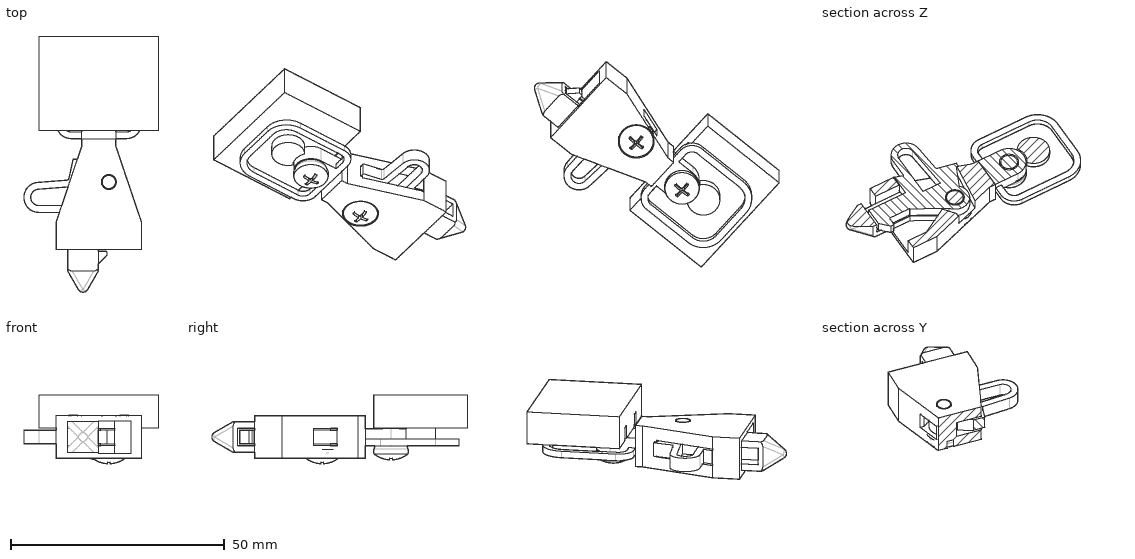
import cadquery as cq
import math


housing_width = 20.0
housing_height = 10.0
housing_straight = 6.4
taper_end_y = 24.2
housing_length = 25.9
stem_width = 8.0

port_offset = 3.7
nose_size = 7.2
nose_straight = 5.02
nose_half_angle = math.radians(30)
nose_round = 1.25
socket_size = 7.6
socket_straight = 5.0
socket_left_x = port_offset - socket_size / 2
socket_wedge_y = socket_straight + socket_size / 2 / math.tan(nose_half_angle)

slot_height = 4.0
slot_front_y = -3.93
slot_back_left_y = 20.7
slot_back_right_y = 19.3
slot_right_y = 13.8
slot_right_x = 6.5

screw_shank_diameter = 4.0
screw_tip_diameter = 3.09
screw_shank_length = 4.96
screw_tip_length = 3.0
head_neck_radius = 3.75
head_shoulder_radius = 4.0
head_shoulder_depth = 0.72
head_bulge_radius = 4.1
head_rim_radius = 3.97
head_rim_depth = 1.92
head_height = 3.33
recess_width = 0.6
recess_length = 4.0
recess_depth = 1.5
tip_hole_diameter = 3.5
counterbore_diameter = 8.4
latch_screw_x = 2.35
latch_screw_y = 15.8
latch_screw_seat_z = housing_height / 2 - screw_shank_length - screw_tip_length
block_screw_y = 31.9

latch_hole_diameter = 4.3
clearance_hole_diameter = 4.4

block_width = 28.0
block_length = 22.0
block_front_y = 27.83
block_bottom_z = 2.08
block_top_z = 9.85
boss_radius = 3.85
boss_distance = 6.6
stem_clearance_radius = 4.2
swing_angle = 30
swing_top_z = 5.15

ring_width = 20.0
ring_length = 21.9
ring_bar = 1.6
ring_thickness = 1.6
ring_front_radius = 3.6
ring_back_radius = 5.5
stem_top_z = 1.95
ring_top_z = -0.45
ring_bottom_z = ring_top_z - ring_thickness

latch_thickness = 3.25
loop_radius = 3.54
loop_bar = 1.65
loop_x = -14.0
loop_y = 12.2
loop_slope = math.radians(4.4)
loop_gap_end_x = -3.0
latch_front_y = 6.5
latch_tail_y = 21.16
latch_tail_x = -6.03
latch_bend_x = -7.1
latch_bend_round = 0.5
latch_hub_radius = 3.5
arm_left_x = -4.75
arm_right_x = -0.2
arm_end_y = -3.47
hook_x = 1.93
hook_back_y = -0.36
hook_round = 0.4


def plate(outline, bottom_z, top_z):
    """Straight-sided polygon plate between two heights."""
    return cq.Workplane("XY", origin=(0, 0, bottom_z)).polyline(outline).close().extrude(top_z - bottom_z)


def cylinder(x, y, bottom_z, top_z, diameter):
    """Upright cylinder between two heights."""
    return cq.Workplane("XY", origin=(x, y, bottom_z)).circle(diameter / 2).extrude(top_z - bottom_z)


def taper_x(y):
    """Half-width of the housing on its tapered flank."""
    share = (y - housing_straight) / (taper_end_y - housing_straight)
    return housing_width / 2 + share * (stem_width - housing_width) / 2


def make_nose():
    """Square nose that ends in a rounded pyramid."""
    half = nose_size / 2
    apex_y = -nose_straight - half / math.tan(nose_half_angle)
    bar = cq.Workplane("XY").box(nose_size, nose_straight, nose_size)
    bar = bar.translate((-port_offset, -nose_straight / 2, 0))
    corners = [
        cq.Vector(-port_offset + sx * half, -nose_straight, sz * half)
        for sx, sz in ((-1, -1), (1, -1), (1, 1), (-1, 1))
    ]
    apex = cq.Vector(-port_offset, apex_y, 0)
    faces = [cq.Face.makeFromWires(cq.Wire.makePolygon(corners, close=True))]
    for first, second in zip(corners, corners[1:] + corners[:1]):
        faces.append(cq.Face.makeFromWires(cq.Wire.makePolygon([first, second, apex], close=True)))
    pyramid = cq.Workplane(obj=cq.Solid.makeSolid(cq.Shell.makeShell(faces)))
    slanted_edges = cq.selectors.BoxSelector(
        (-port_offset - half, apex_y - 1, -half),
        (-port_offset + half, -nose_straight - half / 4, half),
    )
    return bar.union(pyramid).edges(slanted_edges).fillet(nose_round)


def make_slot():
    """Flat cavity for the latch, open to the left flank, the right flank and the nose."""
    nose_left_x = -port_offset - nose_size / 2
    outer_x = housing_width
    outline = [
        (-outer_x, slot_back_left_y),
        (-taper_x(slot_back_left_y), slot_back_left_y),
        (taper_x(slot_back_right_y), slot_back_right_y),
        (outer_x, slot_back_right_y),
        (outer_x, slot_right_y),
        (slot_right_x, slot_right_y),
        (port_offset, socket_wedge_y),
        (socket_left_x, socket_straight),
        (socket_left_x, slot_front_y),
        (nose_left_x, slot_front_y),
        (nose_left_x, housing_straight),
        (-outer_x, housing_straight),
    ]
    return plate(outline, -slot_height / 2, slot_height / 2)


def make_socket():
    """Pocket with a wedge-shaped end that receives the nose of a mating part."""
    half = socket_size / 2
    outline = [
        (socket_left_x, 0),
        (port_offset + half, 0),
        (port_offset + half, socket_straight),
        (port_offset, socket_wedge_y),
        (socket_left_x, socket_straight),
    ]
    return plate(outline, -half, half)


def make_housing():
    half_width = housing_width / 2
    half_stem = stem_width / 2
    half_height = housing_height / 2
    outline = [
        (-half_width, 0),
        (half_width, 0),
        (half_width, housing_straight),
        (half_stem, taper_end_y),
        (half_stem, housing_length),
        (-half_stem, housing_length),
        (-half_stem, taper_end_y),
        (-half_width, housing_straight),
    ]
    body = plate(outline, -half_height, half_height).union(make_nose())
    body = body.cut(make_socket()).cut(make_slot())

    x, y, seat = latch_screw_x, latch_screw_y, latch_screw_seat_z
    body = body.cut(cylinder(x, y, -half_height, seat, counterbore_diameter))
    body = body.cut(cylinder(x, y, seat, 0, clearance_hole_diameter))
    return body.cut(cylinder(x, y, 0, half_height, tip_hole_diameter))


def make_screw(x, y, seat_z):
    """Cross-recess pan-head screw pointing up, with its head below the seat."""
    shank_radius = screw_shank_diameter / 2
    tip_radius = screw_tip_diameter / 2
    bulge_z = -(head_shoulder_depth + head_rim_depth) / 2
    dome_height = head_height - head_rim_depth
    dome_radius = (head_rim_radius**2 + dome_height**2) / (2 * dome_height)
    dome_mid_radius = head_rim_radius / 2
    dome_mid_drop = dome_radius - math.sqrt(dome_radius**2 - dome_mid_radius**2)
    screw = (
        cq.Workplane("XZ")
        .moveTo(0, -head_height)
        .threePointArc((dome_mid_radius, dome_mid_drop - head_height), (head_rim_radius, -head_rim_depth))
        .threePointArc((head_bulge_radius, bulge_z), (head_shoulder_radius, -head_shoulder_depth))
        .lineTo(head_neck_radius, 0)
        .lineTo(shank_radius, 0)
        .lineTo(shank_radius, screw_shank_length)
        .lineTo(tip_radius, screw_shank_length)
        .lineTo(tip_radius, screw_shank_length + screw_tip_length)
        .lineTo(0, screw_shank_length + screw_tip_length)
        .close()
        .revolve(360, (0, 0, 0), (0, 1, 0))
    )
    for length, width in ((recess_length, recess_width), (recess_width, recess_length)):
        recess = cq.Workplane("XY", origin=(0, 0, -head_height)).rect(length, width).extrude(recess_depth)
        screw = screw.cut(recess)
    return screw.translate((x, y, seat_z))


def make_block():
    block = (
        cq.Workplane("XY", origin=(0, block_front_y + block_length / 2, block_bottom_z))
        .rect(block_width, block_length)
        .extrude(block_top_z - block_bottom_z)
    )
    boss = cylinder(0, block_screw_y + boss_distance, ring_top_z, block_bottom_z, 2 * boss_radius)
    boss = boss.cut(cylinder(0, block_screw_y, ring_top_z, block_bottom_z, 2 * stem_clearance_radius))
    block = block.union(boss)

    half_rear = stem_width / 2
    rear_outline = [
        (-half_rear, taper_end_y),
        (half_rear, taper_end_y),
        (half_rear, housing_length),
        (-half_rear, housing_length),
    ]
    housing_rear = plate(rear_outline, block_bottom_z, swing_top_z)
    for angle in (-swing_angle, swing_angle):
        block = block.cut(housing_rear.rotate((0, block_screw_y, 0), (0, block_screw_y, 1), angle))

    shank_end_z = ring_bottom_z + screw_shank_length
    tip_end_z = shank_end_z + screw_tip_length
    block = block.cut(cylinder(0, block_screw_y, block_bottom_z, shank_end_z, screw_shank_diameter))
    return block.cut(cylinder(0, block_screw_y, shank_end_z, tip_end_z, tip_hole_diameter))


def ring_plate(inset):
    """Rounded plate with the ring outline moved inward by the inset."""
    plate_width = ring_width - 2 * inset
    plate_length = ring_length - 2 * inset
    solid = (
        cq.Workplane("XY", origin=(0, housing_length + ring_length / 2, ring_bottom_z))
        .rect(plate_width, plate_length)
        .extrude(ring_thickness)
    )
    solid = solid.edges("|Z and <Y").fillet(ring_front_radius - inset)
    return solid.edges("|Z and >Y").fillet(ring_back_radius - inset)


def make_swivel():
    """Stem behind the housing that carries the block, with a flat strap ring along its underside."""
    half_stem = stem_width / 2
    stem = (
        cq.Workplane("XY", origin=(0, 0, ring_bottom_z))
        .moveTo(-half_stem, housing_length)
        .lineTo(half_stem, housing_length)
        .lineTo(half_stem, block_screw_y)
        .threePointArc((0, block_screw_y + half_stem), (-half_stem, block_screw_y))
        .close()
        .extrude(stem_top_z - ring_bottom_z)
    )
    swivel = ring_plate(0).cut(ring_plate(ring_bar)).union(stem)
    return swivel.cut(cylinder(0, block_screw_y, ring_bottom_z, stem_top_z, clearance_hole_diameter))


def loop_prism(radius, end_x):
    """Round-ended prism around the finger loop, with its upper side sloped."""
    top_x = loop_x - radius * math.sin(loop_slope)
    top_y = loop_y + radius * math.cos(loop_slope)
    return (
        cq.Workplane("XY", origin=(0, 0, -latch_thickness / 2))
        .moveTo(end_x, loop_y - radius)
        .lineTo(loop_x, loop_y - radius)
        .threePointArc((loop_x - radius, loop_y), (top_x, top_y))
        .lineTo(end_x, top_y + (end_x - top_x) * math.tan(loop_slope))
        .close()
        .extrude(latch_thickness)
    )


def make_latch():
    """Latch that turns on its screw, with a finger loop on the left and a hook at the front."""
    half = latch_thickness / 2
    bend_y = loop_y + loop_radius / math.cos(loop_slope) + (latch_bend_x - loop_x) * math.tan(loop_slope)
    body_outline = [
        (arm_left_x, arm_end_y),
        (arm_right_x, arm_end_y),
        (arm_right_x, socket_straight),
        (socket_left_x, socket_straight),
        (port_offset, socket_wedge_y),
        (latch_screw_x + latch_hub_radius, latch_screw_y),
        (-taper_x(slot_back_left_y), slot_back_left_y),
        (-taper_x(latch_tail_y), latch_tail_y),
        (latch_tail_x, latch_tail_y),
        (latch_bend_x, bend_y),
        (-taper_x(loop_y - loop_radius), loop_y - loop_radius),
        (-taper_x(latch_front_y), latch_front_y),
        (arm_left_x, latch_front_y),
    ]
    hook_outline = [
        (arm_right_x, arm_end_y),
        (hook_x, arm_end_y + hook_x - arm_right_x),
        (hook_x, hook_back_y),
        (arm_right_x, hook_back_y),
    ]
    hook = plate(hook_outline, -half, half).edges("|Z and >X and >Y").fillet(hook_round)
    hub = cylinder(latch_screw_x, latch_screw_y, -half, half, 2 * latch_hub_radius)
    latch = plate(body_outline, -half, half).union(hook).union(hub)
    latch = latch.union(loop_prism(loop_radius, loop_gap_end_x))
    bend_edge = cq.selectors.NearestToPointSelector((latch_bend_x, bend_y, 0))
    latch = latch.edges("|Z").edges(bend_edge).fillet(latch_bend_round)
    latch = latch.cut(loop_prism(loop_radius - loop_bar, loop_gap_end_x))
    return latch.cut(cylinder(latch_screw_x, latch_screw_y, -half, half, latch_hole_diameter))


housing = make_housing()
latch = make_latch()
block = make_block()
swivel = make_swivel()
screw_places = [
    (latch_screw_x, latch_screw_y, latch_screw_seat_z),
    (0, block_screw_y, ring_bottom_z),
]
screws = [make_screw(*place) for place in screw_places]

result = cq.Compound.makeCompound(
    [housing.val(), latch.val(), block.val(), swivel.val(), *[screw.val() for screw in screws]]
)